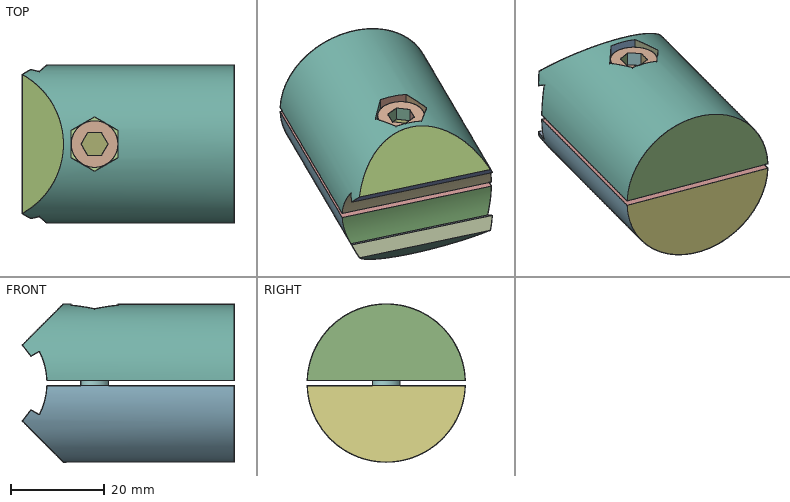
import cadquery as cq
import math

length = 45.5
diameter = 34.0
radius = diameter / 2
gap = 1.1

tip_height = 8.15
lip_x, lip_z = 1.85, 5.75
groove_radius = 15.0
groove_bottom_x = 5.3
groove_edge_z = 6.8

screw_x = 15.5
shank_diameter = 6.0
head_diameter = 10.0
head_top = 15.35
head_height = 6.0
recess_flats = 10.1
socket_flats = 5.0
socket_depth = 3.0


def groove_x(z):
    """X of the groove arc, which is centred on the split plane."""
    center_x = groove_bottom_x - groove_radius
    return center_x + math.sqrt(groove_radius**2 - z**2)


def hexagon_prism(flats, bottom, top, turn):
    """Vertical hexagonal prism at the screw; turn = 0 puts corners along X."""
    corner_diameter = flats / math.cos(math.pi / 6)
    return (
        cq.Workplane("XY")
        .polygon(6, corner_diameter)
        .extrude(top - bottom)
        .rotate((0, 0, 0), (0, 0, 1), turn)
        .translate((screw_x, 0, bottom))
    )


def screw_cylinder(cylinder_diameter, bottom, top):
    """Vertical cylinder on the screw axis."""
    return (
        cq.Workplane("XY", origin=(screw_x, 0, bottom))
        .circle(cylinder_diameter / 2)
        .extrude(top - bottom)
    )


def upper_half():
    """Half cylinder above the gap, with its 45 degree nose and groove."""
    half_gap = gap / 2
    middle_z = groove_edge_z / 2
    profile = (
        cq.Workplane("XZ")
        .moveTo(groove_x(half_gap), half_gap)
        .threePointArc((groove_x(middle_z), middle_z), (groove_x(groove_edge_z), groove_edge_z))
        .lineTo(lip_x, lip_z)
        .lineTo(0, tip_height)
        .lineTo(radius - tip_height, radius)
        .lineTo(length, radius)
        .lineTo(length, half_gap)
        .close()
        .extrude(radius, both=True)
    )
    cylinder = cq.Workplane("YZ").circle(radius).extrude(length)
    return cylinder.intersect(profile)


upper = upper_half()
lower = upper.mirror("XY")
seat = head_top - head_height
upper = upper.cut(hexagon_prism(recess_flats, seat, radius, 30))

shank = screw_cylinder(shank_diameter, -seat, seat)
head = screw_cylinder(head_diameter, seat, head_top)
head = head.cut(hexagon_prism(socket_flats, head_top - socket_depth, head_top, 0))

result = upper.union(lower).union(shank).union(head)